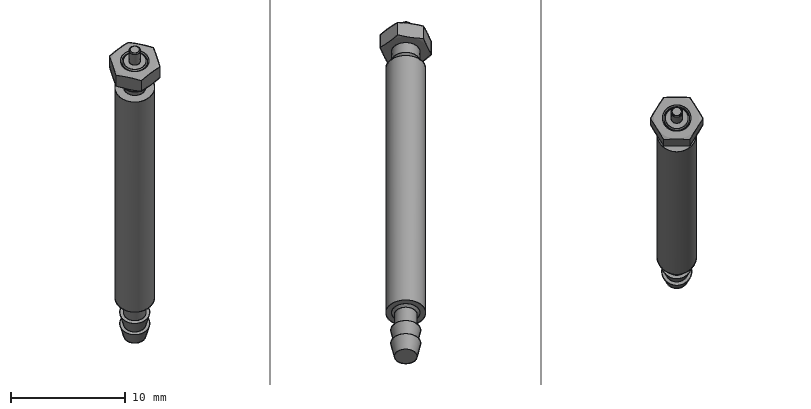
import cadquery as cq
import math

barrel_diameter = 3.5
barrel_length = 28.0
barb_length = 5.0
barb_stem_diameter = 2.0
barb_ridge_diameter = 2.65
barb_tip_diameter = 2.0
barb_ridge_length = 1.5
barb_ridge_count = 2
collar_diameter = 2.5
collar_height = 0.2

neck_diameter = 1.95
neck_length = 0.5
thread_diameter = 2.5
thread_length = 3.0
thread_chamfer = (thread_diameter - neck_diameter) / 2

seat_diameter = 2.25
seat_chamfer = (thread_diameter - seat_diameter) / 2

rod_diameter = 1.0
rod_projection = 1.5
rod_chamfer = 0.1

nut_across_flats = 4.0
nut_across_corners = nut_across_flats / math.cos(math.pi / 6)
nut_thickness = 1.6
nut_chamfer_diameter = 3.97
nut_chamfer_angle = 15.0

barrel_bottom = barb_length
barrel_top = barrel_bottom + barrel_length
thread_bottom = barrel_top + neck_length
thread_top = thread_bottom + thread_length
rod_top = thread_top + rod_projection
nut_bottom = thread_top - nut_thickness


def cylinder(diameter, bottom, top):
    """Upright cylinder on the Z axis."""
    return cq.Workplane("XY").workplane(offset=bottom).circle(diameter / 2).extrude(top - bottom)


def cone(bottom_diameter, top_diameter, bottom, top):
    """Upright truncated cone on the Z axis."""
    profile = [
        (0, bottom),
        (bottom_diameter / 2, bottom),
        (top_diameter / 2, top),
        (0, top),
    ]
    return cq.Workplane("XZ").polyline(profile).close().revolve(360, (0, 0), (0, 1))


def make_thread():
    """Plain thread cylinder with a chamfered lower end, and the chamfered nut seat on top of it."""
    thread = cylinder(thread_diameter, thread_bottom, nut_bottom)
    thread = thread.faces("<Z").chamfer(thread_chamfer)
    seat = cylinder(seat_diameter, nut_bottom, thread_top)
    seat = seat.faces(">Z").chamfer(seat_chamfer)
    return thread.union(seat)


def make_barrel():
    """Barrel with the hose barb below it and the threaded neck above it, bored for the rod."""
    barrel = cylinder(barrel_diameter, barrel_bottom, barrel_top)
    barrel = barrel.union(cylinder(barb_stem_diameter, 0, barrel_bottom))
    barrel = barrel.union(
        cone(barb_stem_diameter, collar_diameter, barrel_bottom - collar_height, barrel_bottom)
    )
    for ridge in range(barb_ridge_count):
        ridge_bottom = ridge * barb_ridge_length
        ridge_top = ridge_bottom + barb_ridge_length
        barrel = barrel.union(cone(barb_tip_diameter, barb_ridge_diameter, ridge_bottom, ridge_top))
    barrel = barrel.union(cylinder(neck_diameter, barrel_top, thread_bottom))
    barrel = barrel.union(make_thread())
    return barrel.cut(cylinder(rod_diameter, barrel_top, thread_top))


def make_rod():
    """Piston rod, from the top of the barrel out through the threaded neck."""
    return cylinder(rod_diameter, barrel_top, rod_top).faces(">Z").chamfer(rod_chamfer)


def make_nut():
    """Hex nut with corners chamfered on both faces and a countersunk hole for the nut seat."""
    nut_blank = cq.Workplane("XY").workplane(offset=nut_bottom)
    nut_blank = nut_blank.polygon(6, nut_across_corners).extrude(nut_thickness)

    edge_width = (nut_across_corners - nut_chamfer_diameter) / 2
    edge_height = edge_width * math.tan(math.radians(nut_chamfer_angle))
    trim_disc = cylinder(nut_across_corners, nut_bottom, thread_top)
    trim_disc = trim_disc.edges("%CIRCLE").chamfer(edge_height, edge_width)
    nut = nut_blank.intersect(trim_disc)

    nut = nut.cut(cylinder(seat_diameter, nut_bottom, thread_top))
    return nut.cut(cone(seat_diameter, thread_diameter, thread_top - seat_chamfer, thread_top))


barrel = make_barrel()
rod = make_rod()
nut = make_nut()

result = cq.Compound.makeCompound(
    [barrel.solids().val(), rod.solids().val(), nut.solids().val()]
)